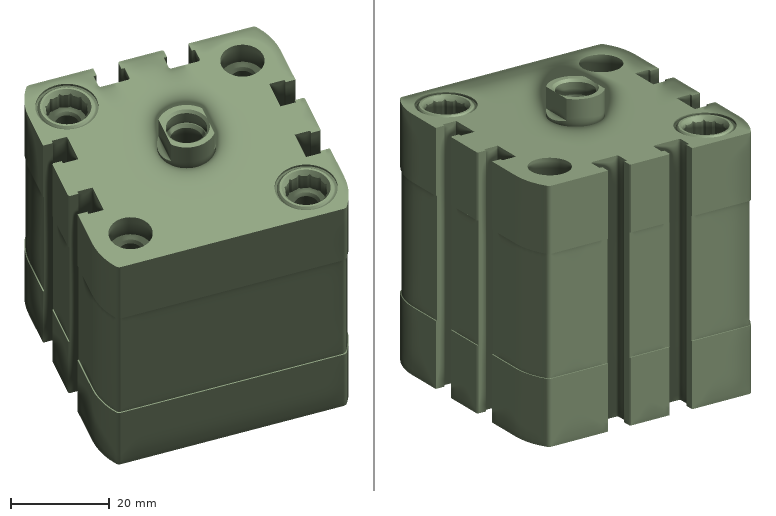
import cadquery as cq
import math

TOTAL_HEIGHT = 63.8
HOUSING_HEIGHT = 57.75
CAP_HEIGHT = 15.05

WIDTH = 54.5
HALF = WIDTH / 2
BARREL_INSET = 0.25
CORNER_RADIUS = 14.55
CORNER_CENTER_X = 18.9
SIDE_FILLET = 1.1

SLOT_OFFSET = 7.6
NECK_WIDTH = 5.35
NECK_DEPTH = 2.1
SLOT_WIDTH = 6.7
SLOT_DEPTH = 5.4
SLOT_FILLET = 0.5

HOLE_SPACING = 37.9
HOLE_DIA = 4.9
COUNTERSINK_DIA = 6.0
COUNTERBORE_DIA = 9.0
COUNTERBORE_DEPTH = 5.0

SCREW_POCKET_DIA = 12.8
SCREW_DIA = 11.9
SCREW_CHAMFER = 0.5
SCREW_GROOVE_DEPTH = 0.5
SOCKET_MOUTH_DIA = 9.95
SOCKET_MOUTH_DEPTH = 1.0
SOCKET_DIA = 8.4
SOCKET_POINT_RADIUS = 4.45
SOCKET_DEPTH = 4.6

ROD_DIA = 12.0
FLATS_WIDTH = 9.4
FLATS_BOTTOM = 58.95
FLATS_SHOULDER_DROP = 0.6
ROD_BORE_DIA = 8.4
ROD_BORE_DEPTH = 3.3
ROD_MOUTH_DIA = 9.5
ROD_STEP_INNER_DIA = 8.05
ROD_DRILL_DIA = 6.75
ROD_DRILL_DEPTH = 12.0
DRILL_ANGLE = 118.0

ROD_BOTTOM = HOUSING_HEIGHT - CAP_HEIGHT


def prism(inset, bottom, height):
    """Body section with every side moved inward by `inset`."""
    half = HALF - inset
    radius = CORNER_RADIUS - inset
    center_y = HALF - CORNER_RADIUS
    end_angle = math.acos((half - CORNER_CENTER_X) / radius)
    middle_angle = (math.pi / 2 + end_angle) / 2
    end_y = center_y + radius * math.sin(end_angle)
    middle_x = CORNER_CENTER_X + radius * math.cos(middle_angle)
    middle_y = center_y + radius * math.sin(middle_angle)
    return (
        cq.Workplane("XY", origin=(0, 0, bottom))
        .moveTo(-CORNER_CENTER_X, half)
        .lineTo(CORNER_CENTER_X, half)
        .threePointArc((middle_x, middle_y), (half, end_y))
        .lineTo(half, -end_y)
        .threePointArc((middle_x, -middle_y), (CORNER_CENTER_X, -half))
        .lineTo(-CORNER_CENTER_X, -half)
        .threePointArc((-middle_x, -middle_y), (-half, -end_y))
        .lineTo(-half, end_y)
        .threePointArc((-middle_x, middle_y), (-CORNER_CENTER_X, half))
        .close()
        .extrude(height)
        .faces("<X or >X")
        .edges("|Z")
        .fillet(SIDE_FILLET)
    )


def slot_pair(floor_fillet=0.0):
    """Cutter for two T-slots open to the -Y side."""
    face_y = -HALF
    pair = cq.Workplane("XY")
    for x in (-SLOT_OFFSET, SLOT_OFFSET):
        chamber = (
            cq.Workplane("XY")
            .center(x, face_y + (NECK_DEPTH + SLOT_DEPTH) / 2)
            .rect(SLOT_WIDTH, SLOT_DEPTH - NECK_DEPTH)
            .extrude(HOUSING_HEIGHT)
        )
        if floor_fillet:
            chamber = chamber.faces(">Y").edges("|Z").fillet(floor_fillet)
        neck = (
            cq.Workplane("XY")
            .center(x, face_y)
            .rect(NECK_WIDTH, 2 * NECK_DEPTH)
            .extrude(HOUSING_HEIGHT)
        )
        pair = pair.add(chamber).add(neck)
    return pair.combine()


def land_edge_bevels():
    """Cutter that bevels the cap edges of the land between two -Y slots, down to the barrel face."""
    land_half = SLOT_OFFSET - NECK_WIDTH / 2
    bevels = cq.Workplane("XY")
    for bottom in (0, HOUSING_HEIGHT - CAP_HEIGHT):
        for side in (-1, 1):
            bevel = (
                cq.Workplane("XY", origin=(0, 0, bottom))
                .moveTo(side * land_half, -HALF)
                .lineTo(side * (land_half - BARREL_INSET), -HALF)
                .lineTo(side * land_half, -HALF + BARREL_INSET)
                .close()
                .extrude(CAP_HEIGHT)
            )
            bevels = bevels.add(bevel)
    return bevels.combine()


def mounting_hole(x, y, floor_depth):
    """Cutter for a through hole, countersunk at the floor of its counterbore or socket."""
    hole_radius = HOLE_DIA / 2
    sink_radius = COUNTERSINK_DIA / 2
    floor_z = HOUSING_HEIGHT - floor_depth
    return (
        cq.Workplane("XZ")
        .polyline([
            (0, 0),
            (hole_radius, 0),
            (hole_radius, floor_z - (sink_radius - hole_radius)),
            (sink_radius, floor_z),
            (0, floor_z),
        ])
        .close()
        .revolve(360, (0, 0), (0, 1))
        .translate((x, y, 0))
    )


def counterbore(x, y):
    return (
        cq.Workplane("XY", origin=(x, y, HOUSING_HEIGHT - COUNTERBORE_DEPTH))
        .circle(COUNTERBORE_DIA / 2)
        .extrude(COUNTERBORE_DEPTH)
    )


def screw_groove(x, y):
    """Cutter for the ring gap around a bearing screw, with the screw's outer chamfer."""
    pocket_radius = SCREW_POCKET_DIA / 2
    screw_radius = SCREW_DIA / 2
    bottom = HOUSING_HEIGHT - SCREW_GROOVE_DEPTH
    return (
        cq.Workplane("XZ")
        .polyline([
            (pocket_radius, HOUSING_HEIGHT),
            (pocket_radius, bottom),
            (screw_radius, bottom),
            (screw_radius - SCREW_CHAMFER, HOUSING_HEIGHT),
        ])
        .close()
        .revolve(360, (0, 0), (0, 1))
        .translate((x, y, 0))
    )


def screw_socket(x, y):
    """Cutter for a twelve-point socket with rounded-off inner corners and a conical mouth."""
    plane = cq.Workplane("XY", origin=(x, y, HOUSING_HEIGHT - SOCKET_DEPTH))
    socket = plane.circle(SOCKET_DIA / 2).extrude(SOCKET_DEPTH)
    for turn in (0, 30):
        hexagon = plane.polygon(6, 2 * SOCKET_POINT_RADIUS).extrude(SOCKET_DEPTH)
        socket = socket.union(hexagon.rotate((x, y, 0), (x, y, 1), turn))
    mouth_depth = SOCKET_MOUTH_DEPTH
    mouth = cq.Solid.makeCone(
        SOCKET_DIA / 2, SOCKET_MOUTH_DIA / 2, mouth_depth, cq.Vector(x, y, HOUSING_HEIGHT - mouth_depth)
    )
    return socket.union(cq.Workplane(mouth))


def make_housing():
    barrel = prism(BARREL_INSET, CAP_HEIGHT, HOUSING_HEIGHT - 2 * CAP_HEIGHT)
    housing = barrel.union(prism(0, 0, CAP_HEIGHT)).union(prism(0, ROD_BOTTOM, CAP_HEIGHT))

    for turn, floor_fillet in ((0, 0.0), (180, 0.0), (-90, SLOT_FILLET)):
        for cutter in (slot_pair(floor_fillet), land_edge_bevels()):
            housing = housing.cut(cutter.rotate((0, 0, 0), (0, 0, 1), turn))

    reach = HOLE_SPACING / 2
    for x, y in ((-reach, reach), (reach, -reach)):
        housing = housing.cut(mounting_hole(x, y, COUNTERBORE_DEPTH)).cut(counterbore(x, y))
    for x, y in ((-reach, -reach), (reach, reach)):
        housing = housing.cut(mounting_hole(x, y, SOCKET_DEPTH))
        housing = housing.cut(screw_groove(x, y)).cut(screw_socket(x, y))

    rod_seat = cq.Workplane("XY", origin=(0, 0, ROD_BOTTOM)).circle(ROD_DIA / 2).extrude(CAP_HEIGHT)
    return housing.cut(rod_seat)


def rod_bore():
    """Cutter for the stepped blind bore in the rod's top face."""
    mouth_radius = ROD_MOUTH_DIA / 2
    bore_radius = ROD_BORE_DIA / 2
    step_radius = ROD_STEP_INNER_DIA / 2
    drill_radius = ROD_DRILL_DIA / 2
    cone_slope = math.tan(math.radians(DRILL_ANGLE / 2))
    step_z = TOTAL_HEIGHT - ROD_BORE_DEPTH
    drill_z = TOTAL_HEIGHT - ROD_DRILL_DEPTH
    return (
        cq.Workplane("XZ")
        .polyline([
            (0, TOTAL_HEIGHT),
            (mouth_radius, TOTAL_HEIGHT),
            (bore_radius, TOTAL_HEIGHT - (mouth_radius - bore_radius)),
            (bore_radius, step_z),
            (step_radius, step_z),
            (drill_radius, step_z - (step_radius - drill_radius)),
            (drill_radius, drill_z),
            (0, drill_z - drill_radius / cone_slope),
        ])
        .close()
        .revolve(360, (0, 0), (0, 1))
    )


def flat_cutter(side):
    """Cutter for one wrench flat (side -1 or 1 along Y) with a shoulder sloping down outward."""
    flat_y = FLATS_WIDTH / 2
    rod_radius = ROD_DIA / 2
    return (
        cq.Workplane("YZ")
        .polyline([
            (side * flat_y, TOTAL_HEIGHT),
            (side * flat_y, FLATS_BOTTOM),
            (side * rod_radius, FLATS_BOTTOM - FLATS_SHOULDER_DROP),
            (side * rod_radius, TOTAL_HEIGHT),
        ])
        .close()
        .extrude(rod_radius, both=True)
    )


def make_rod():
    rod = (
        cq.Workplane("XY", origin=(0, 0, ROD_BOTTOM))
        .circle(ROD_DIA / 2)
        .extrude(TOTAL_HEIGHT - ROD_BOTTOM)
        .cut(rod_bore())
    )
    for side in (-1, 1):
        rod = rod.cut(flat_cutter(side))
    return rod


housing = make_housing()
rod = make_rod()

result = cq.Compound.makeCompound([housing.val(), rod.val()])